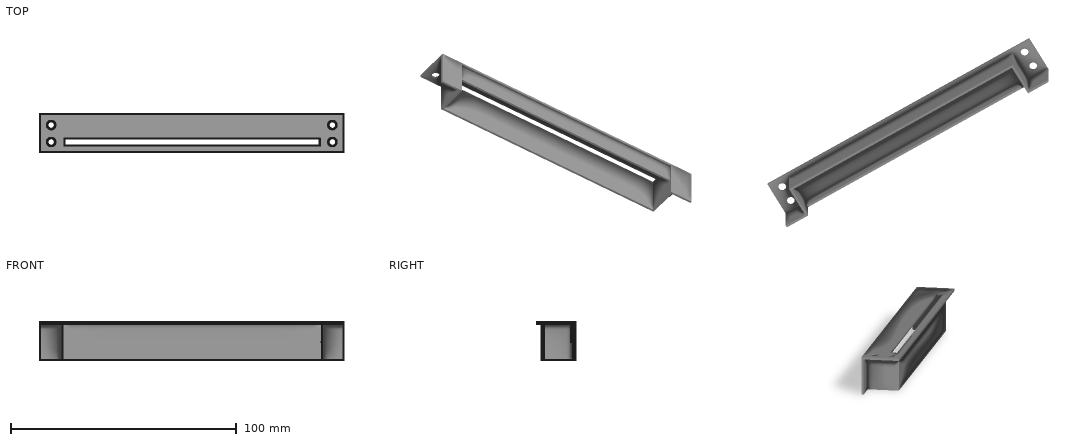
import cadquery as cq

cover_length = 134.62
depth = 17.0
height = 17.0
sheet = 1.0

frame_left = 10.0
frame_length = 115.0
front_overhang = 2.0
wall_height = height - sheet
frame_right = frame_left + frame_length
front_inner_y = front_overhang + sheet
back_inner_y = depth - sheet
end_wall_lefts = (frame_left, frame_right - sheet)

hole_diameter = 3.5
hole_end_distance = 5.0
hole_rows_y = (4.5, 12.0)
slot_width = 3.0

strip_thickness = 1.0
strip_height = 8.0


def block(x_range, y_range, z_range):
    """Box spanning the given coordinate ranges."""
    x0, x1 = x_range
    y0, y1 = y_range
    z0, z1 = z_range
    return cq.Workplane("XY").box(x1 - x0, y1 - y0, z1 - z0, centered=False).translate((x0, y0, z0))


def make_cover():
    """Top plate with four screw holes and a slot along the inside of the front wall."""
    plate = block((0, cover_length), (0, depth), (wall_height, height))
    slot = block(
        (frame_left + sheet, frame_right - sheet),
        (front_inner_y, front_inner_y + slot_width),
        (wall_height, height),
    )
    hole_columns_x = (hole_end_distance, cover_length - hole_end_distance)
    centers = [(x, y) for x in hole_columns_x for y in hole_rows_y]
    holes = (
        cq.Workplane("XY", origin=(0, 0, wall_height))
        .pushPoints(centers)
        .circle(hole_diameter / 2)
        .extrude(sheet)
    )
    return plate.cut(slot).cut(holes)


def make_front_wall():
    """Wall across the full frame; a seam line marks each end zone that covers an end wall."""
    y_range = (front_overhang, front_inner_y)
    z_range = (0, wall_height)
    wall = block((frame_left + sheet, frame_right - sheet), y_range, z_range)
    for left in end_wall_lefts:
        wall = wall.union(block((left, left + sheet), y_range, z_range), clean=False)
    return wall


def make_strip():
    """Strip across the open rear, flush with the outer faces of both end walls."""
    return block(
        (frame_left, frame_right),
        (back_inner_y - strip_thickness, back_inner_y),
        (wall_height - strip_height, wall_height),
    )


def make_end_wall(left, strip):
    """Wall from the front wall to the rear face, notched where the strip passes through."""
    wall = block((left, left + sheet), (front_inner_y, depth), (0, wall_height))
    return wall.cut(strip)


def make_rear_flange(x_range):
    """Rear plate from an end of the cover to the end wall beside it."""
    return block(x_range, (back_inner_y, depth), (0, wall_height))


cover = make_cover()
front_wall = make_front_wall()
strip = make_strip()
end_walls = [make_end_wall(left, strip) for left in end_wall_lefts]
rear_flanges = [make_rear_flange(ends) for ends in ((0, frame_left), (frame_right, cover_length))]

result = cq.Compound.makeCompound([
    cover.val(),
    front_wall.val(),
    strip.val(),
    *[wall.val() for wall in end_walls],
    *[flange.val() for flange in rear_flanges],
])